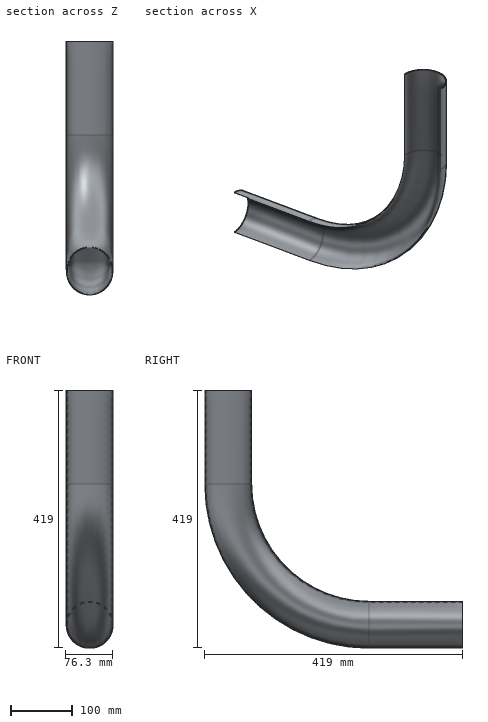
import cadquery as cq
import math

overall_size = 419.0
outer_diameter = 76.3
inner_diameter = 73.0
bend_radius = 3 * outer_diameter
leg_length = overall_size - outer_diameter / 2 - bend_radius

bend_mid_offset = bend_radius * (1 - math.cos(math.radians(45)))
upright_top = (0, bend_radius + leg_length)
upright_bottom = (0, bend_radius)
bend_middle = (bend_mid_offset, bend_mid_offset)
level_start = (bend_radius, 0)
level_end = (bend_radius + leg_length, 0)

centreline = (
    cq.Workplane("YZ")
    .moveTo(*upright_top)
    .lineTo(*upright_bottom)
    .threePointArc(bend_middle, level_start)
    .lineTo(*level_end)
)

result = (
    cq.Workplane("XY", origin=(0, 0, upright_top[1]))
    .circle(outer_diameter / 2)
    .circle(inner_diameter / 2)
    .sweep(centreline)
)